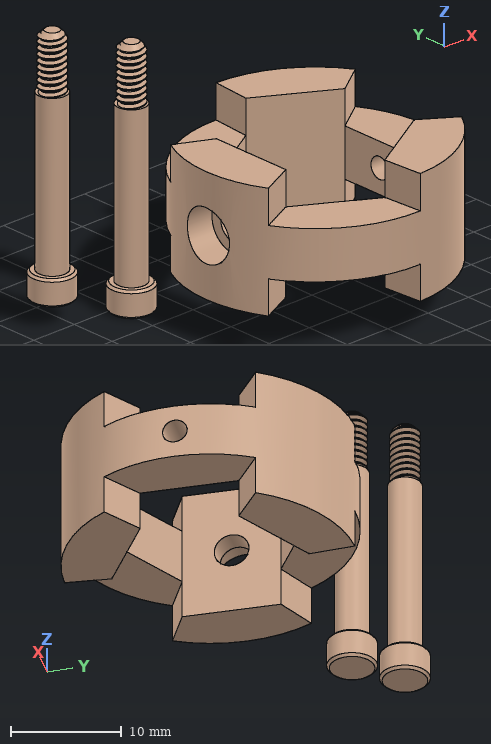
import cadquery as cq
import math

RING_RADIUS = 13.5
HEX_APOTHEM = 7.95
RING_HEIGHT = 12.7
BAND_HEIGHT = 5.3
NOTCH_COUNT = 3
NOTCH_HALF_ANGLE = 31.4

HEAD_DIAMETER = 4.62
HEAD_HEIGHT = 2.85
HEAD_CHAMFER = 0.25
SHOULDER_DIAMETER = 3.18
SHOULDER_LENGTH = 17.65
CREST_RADIUS = 1.4
ROOT_RADIUS = 1.05
THREAD_LENGTH = 6.15
THREAD_PITCH = 0.635
CREST_WIDTH = 0.08
ROOT_WIDTH = 0.1
CREST_BELOW_TIP = 0.47
TIP_RADIUS = 0.8
RIDGE_OVERLAP = 0.05
ENVELOPE_CLEARANCE = 0.18

TAPPED_HOLE_DIAMETER = 2.27
CLEARANCE_HOLE_DIAMETER = 3.2
HEAD_RECESS_DIAMETER = 5.55
HEAD_RECESS_DEPTH = 3.32

SCREW_PLACES = [(-20.28, 13.05, -8.4), (-13.53, 9.8, -10.57)]


def polar(radius, angle):
    """Point at a radius and an angle in degrees."""
    return (radius * math.cos(math.radians(angle)), radius * math.sin(math.radians(angle)))


def beyond(inner, outer):
    """Point on the line through two points, as far past the second as the first is before it."""
    return (2 * outer[0] - inner[0], 2 * outer[1] - inner[1])


def hexagon_corner(angle):
    return polar(HEX_APOTHEM / math.cos(math.radians(30)), angle)


def notch(mid_angle):
    """Sector that clears the space between two jaws above and below the band."""
    start = hexagon_corner(mid_angle - 30)
    end = hexagon_corner(mid_angle + 30)
    start_at_rim = polar(RING_RADIUS, mid_angle - NOTCH_HALF_ANGLE)
    end_at_rim = polar(RING_RADIUS, mid_angle + NOTCH_HALF_ANGLE)
    height = (RING_HEIGHT - BAND_HEIGHT) / 2
    sector = (
        cq.Workplane("XY", origin=(0, 0, BAND_HEIGHT / 2))
        .polyline([(0, 0), start, beyond(start, start_at_rim), beyond(end, end_at_rim), end])
        .close()
        .extrude(height)
    )
    return sector.union(sector.mirror("XY"))


def cross_hole(diameter, start, end):
    """Cylinder along X between two X positions."""
    return cq.Workplane("YZ", origin=(start, 0, 0)).circle(diameter / 2).extrude(end - start)


def make_ring():
    ring = (
        cq.Workplane("XY", origin=(0, 0, -RING_HEIGHT / 2))
        .circle(RING_RADIUS)
        .polyline([hexagon_corner(30 + 60 * side) for side in range(6)])
        .close()
        .extrude(RING_HEIGHT)
    )
    for index in range(NOTCH_COUNT):
        ring = ring.cut(notch(index * 360 / NOTCH_COUNT))

    head_seat = -RING_RADIUS + HEAD_RECESS_DEPTH
    ring = ring.cut(cross_hole(TAPPED_HOLE_DIAMETER, 0, RING_RADIUS))
    ring = ring.cut(cross_hole(CLEARANCE_HOLE_DIAMETER, -RING_RADIUS - 0.35, 0))
    return ring.cut(cross_hole(HEAD_RECESS_DIAMETER, -RING_RADIUS, head_seat))


def thread_ridge():
    """Right-handed ridge, running past both ends of a thread that starts at Z = 0."""
    base_radius = ROOT_RADIUS - RIDGE_OVERLAP
    flank_run = (THREAD_PITCH - CREST_WIDTH - ROOT_WIDTH) / 2
    half_crest = CREST_WIDTH / 2
    half_base = half_crest + flank_run * (CREST_RADIUS - base_radius) / (CREST_RADIUS - ROOT_RADIUS)

    turns = math.ceil(THREAD_LENGTH / THREAD_PITCH) + 3
    helix = cq.Wire.makeHelix(THREAD_PITCH, turns * THREAD_PITCH, base_radius)
    ridge = (
        cq.Workplane("XZ")
        .moveTo(base_radius, -half_base)
        .lineTo(CREST_RADIUS, -half_crest)
        .lineTo(CREST_RADIUS, half_crest)
        .lineTo(base_radius, half_base)
        .close()
        .sweep(cq.Workplane(helix), isFrenet=True)
    )
    start_height = (THREAD_LENGTH - CREST_BELOW_TIP) % THREAD_PITCH - 2 * THREAD_PITCH
    return ridge.rotate((0, 0, 0), (0, 0, 1), 180).translate((0, 0, start_height))


def thread_envelope():
    """Space the thread may fill: wider than the crests, and closed by the 45-degree cone of the tip."""
    radius = CREST_RADIUS + ENVELOPE_CLEARANCE
    return cq.Workplane("XY").circle(radius).extrude(THREAD_LENGTH).faces(">Z").chamfer(radius - TIP_RADIUS)


def make_thread():
    """Thread standing on Z = 0, trimmed at both ends from a longer one."""
    core = (
        cq.Workplane("XY", origin=(0, 0, -THREAD_LENGTH / 2)).circle(ROOT_RADIUS).extrude(2 * THREAD_LENGTH)
    )
    return core.union(thread_ridge()).intersect(thread_envelope())


def make_screw():
    """Shoulder screw with its head underside at the origin."""
    head = cq.Workplane("XY").circle(HEAD_DIAMETER / 2).extrude(HEAD_HEIGHT).edges().chamfer(HEAD_CHAMFER)
    shoulder = (
        cq.Workplane("XY", origin=(0, 0, HEAD_HEIGHT)).circle(SHOULDER_DIAMETER / 2).extrude(SHOULDER_LENGTH)
    )
    thread = make_thread().translate((0, 0, HEAD_HEIGHT + SHOULDER_LENGTH))
    return head.union(shoulder).union(thread)


ring = make_ring()
screw = make_screw()
screws = [screw.translate(place) for place in SCREW_PLACES]

result = cq.Compound.makeCompound([ring.val(), *[placed.val() for placed in screws]])